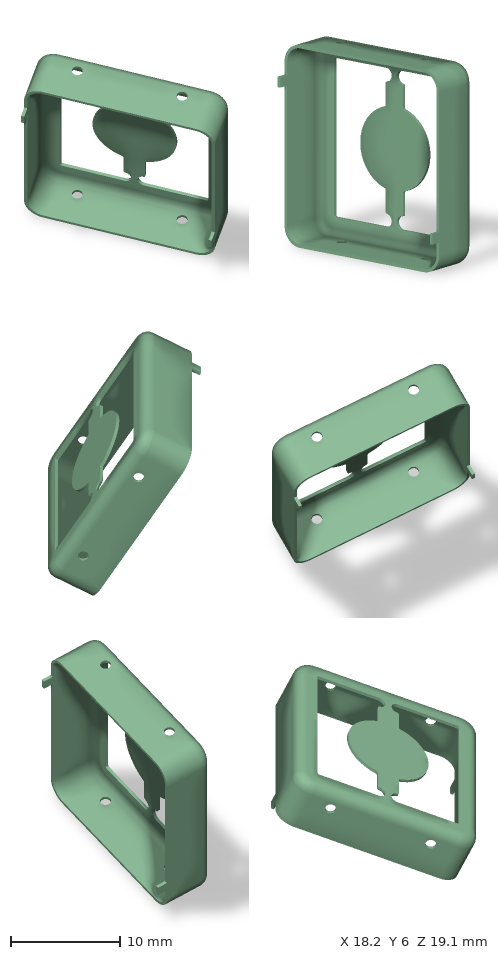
import cadquery as cq

width = 18.2
height = 19.1
depth = 5.0
wall = 0.3
corner_radius = 1.81
face_edge_radius = 1.0

window_width = 14.13
window_height = 15.01
window_corner_radius = 0.15

disc_radius = 4.01
stem_width = 2.06
neck_width = 0.63
notch_radius = 0.65
stem_corner_radius = 0.15

tab_length = 1.0
tab_width = 1.0
tab_offset = 6.0

hole_diameter = 1.0
hole_offset = 5.0
hole_from_face = 1.78


def rounded_block(inset):
    """Block inset from the outer shell on every side except the open rim."""
    block_depth = depth - inset
    return (
        cq.Workplane("XY")
        .box(width - 2 * inset, block_depth, height - 2 * inset)
        .translate((0, block_depth / 2, 0))
        .edges("|Y")
        .fillet(corner_radius - inset)
        .faces(">Y")
        .edges()
        .fillet(face_edge_radius - inset)
    )


def face_plate(x_size, z_size):
    """Rectangle centred on the face and as thick as the face."""
    return cq.Workplane("XY").box(x_size, wall, z_size).translate((0, depth - wall / 2, 0))


def face_disc(radius, x=0, z=0):
    """Round plate as thick as the face, with its axis along Y."""
    return cq.Workplane("XZ", origin=(x, depth, z)).circle(radius).extrude(wall)


def round_corners(body, corner_x, corner_z):
    """Round the four corners of the stems at (+-corner_x, +-corner_z)."""
    for x in (-corner_x, corner_x):
        for z in (-corner_z, corner_z):
            corner = cq.selectors.NearestToPointSelector((x, depth - wall / 2, z))
            body = body.edges("|Y").edges(corner).fillet(stem_corner_radius)
    return body


def disc_and_stems():
    """Disc on two stems, each waisted by a pair of notches next to the window edge."""
    half_stem = stem_width / 2
    notch_x = neck_width / 2 + notch_radius
    notch_z = window_height / 2 - notch_radius
    side_relief = half_stem - notch_x
    body = face_plate(stem_width, window_height)
    for x_side in (-1, 1):
        for z_side in (-1, 1):
            relief = face_plate(side_relief, notch_radius).translate(
                (x_side * (notch_x + side_relief / 2), 0, z_side * (notch_z + notch_radius / 2))
            )
            notch = face_disc(notch_radius, x_side * notch_x, z_side * notch_z)
            body = body.cut(relief).cut(notch)
    shoulder_z = notch_z - (notch_radius**2 - side_relief**2) ** 0.5
    body = round_corners(body, half_stem, shoulder_z)

    body = body.union(face_disc(disc_radius))
    joint_z = (disc_radius**2 - half_stem**2) ** 0.5
    return round_corners(body, half_stem, joint_z)


def tab(side):
    """Tab continuing a side wall; the two tabs are diagonally opposite."""
    return (
        cq.Workplane("XY")
        .box(wall, tab_length + wall, tab_width)
        .translate((side * (width - wall) / 2, (wall - tab_length) / 2, -side * tab_offset))
    )


window = face_plate(window_width, window_height).edges("|Y").fillet(window_corner_radius)
result = rounded_block(0).cut(rounded_block(wall)).cut(window)
result = result.union(disc_and_stems())

for side in (-1, 1):
    result = result.union(tab(side))

holes = (
    cq.Workplane("XY", origin=(0, depth - hole_from_face, -height / 2))
    .pushPoints([(-hole_offset, 0), (hole_offset, 0)])
    .circle(hole_diameter / 2)
    .extrude(height)
)
result = result.cut(holes)